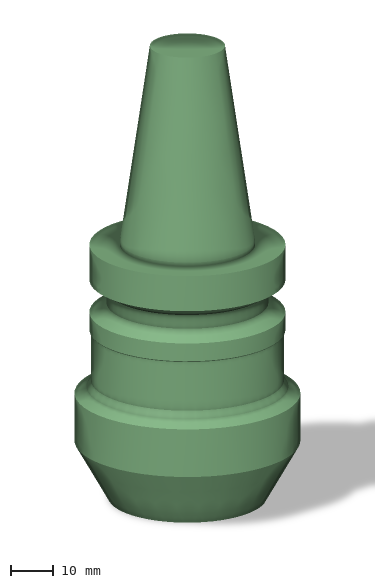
import math

import cadquery as cq

total_height = 111.9

taper_length = 48.4
taper_ratio = 7 / 24
gauge_diameter = 31.75
neck_length = 0.9

flange_diameter = 46.0
groove_diameter = 38.0
gauge_to_flange_end = 22.3
upper_rim_height = 8.7
lower_rim_height = 4.7
flange_end_chamfer = 0.3

body_diameter = 45.4
collar_diameter = 53.0
collar_height = 11.8
transition_step = 1.0

nose_height = 14.0
nose_bottom_diameter = 37.2

flank_angle = math.radians(60)
transition_angle = math.radians(30)

small_end_radius = (gauge_diameter - taper_length * taper_ratio) / 2
gauge_radius = gauge_diameter / 2
flange_radius = flange_diameter / 2
groove_radius = groove_diameter / 2
body_radius = body_diameter / 2
collar_radius = collar_diameter / 2
nose_bottom_radius = nose_bottom_diameter / 2

gauge_z = total_height - taper_length
flange_top_z = gauge_z - neck_length
flange_end_z = gauge_z - gauge_to_flange_end
groove_flank_height = (flange_radius - groove_radius) / math.tan(flank_angle)
groove_upper_z = flange_top_z - upper_rim_height
groove_lower_z = flange_end_z + lower_rim_height
collar_top_z = nose_height + collar_height

transition_radius = body_radius + transition_step
transition_end_z = collar_top_z + (collar_radius - transition_radius) / math.tan(flank_angle)
transition_start_z = transition_end_z + transition_step / math.tan(transition_angle)


def holder_profile():
    """Closed half section, radius along Y and height along Z."""
    return (
        cq.Workplane("YZ")
        .moveTo(0, total_height)
        .lineTo(small_end_radius, total_height)
        .lineTo(gauge_radius, gauge_z)
        .lineTo(gauge_radius, flange_top_z)
        .lineTo(flange_radius, flange_top_z)
        .lineTo(flange_radius, groove_upper_z)
        .lineTo(groove_radius, groove_upper_z - groove_flank_height)
        .lineTo(groove_radius, groove_lower_z + groove_flank_height)
        .lineTo(flange_radius, groove_lower_z)
        .lineTo(flange_radius, flange_end_z + flange_end_chamfer)
        .lineTo(body_radius, flange_end_z)
        .lineTo(body_radius, transition_start_z)
        .lineTo(transition_radius, transition_end_z)
        .lineTo(collar_radius, collar_top_z)
        .lineTo(collar_radius, nose_height)
        .lineTo(nose_bottom_radius, 0)
        .lineTo(0, 0)
        .close()
    )


result = holder_profile().revolve(360, (0, 0, 0), (0, 1, 0))